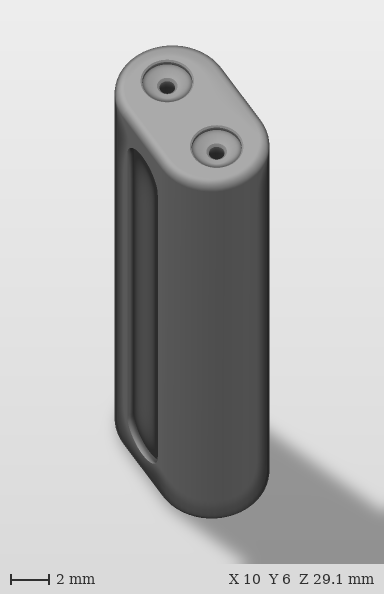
import cadquery as cq

length = 29.05
width = 10.0
thickness = 6.0
end_fillet = 0.5

recess_length = 25.7
recess_width = 3.08
recess_depth = 0.4

cavity_spacing = 5.0
mouth_diameter = 2.8
wall_diameter = 2.6
mouth_chamfer = (mouth_diameter - wall_diameter) / 2
wall_depth = 0.3
funnel_bottom_depth = 0.45
throat_diameter = 1.07
bore_diameter = 0.8
throat_chamfer = (throat_diameter - bore_diameter) / 2


def make_body():
    """Stadium bar along Z with rounded end rims."""
    bar = cq.Workplane("XY").slot2D(width, thickness).extrude(length)
    return bar.faces("<Z or >Z").edges().fillet(end_fillet)


def make_label_recess():
    """Shallow round-ended pocket, upright in the front face."""
    return (
        cq.Workplane("XZ", origin=(0, -thickness / 2 + recess_depth, length / 2))
        .slot2D(recess_length, recess_width, 90)
        .extrude(recess_depth)
    )


def make_cavity(center_x):
    """Chamfered mouth, short wall, shallow conical funnel, chamfered throat and through bore."""
    profile = [
        (0, length),
        (mouth_diameter / 2, length),
        (wall_diameter / 2, length - mouth_chamfer),
        (wall_diameter / 2, length - wall_depth),
        (throat_diameter / 2, length - funnel_bottom_depth),
        (bore_diameter / 2, length - funnel_bottom_depth - throat_chamfer),
        (bore_diameter / 2, 0),
        (0, 0),
    ]
    cavity = cq.Workplane("XZ").polyline(profile).close().revolve(360, (0, 0, 0), (0, 1, 0))
    return cavity.translate((center_x, 0, 0))


result = make_body().cut(make_label_recess())
for side in (-1, 1):
    result = result.cut(make_cavity(side * cavity_spacing / 2))